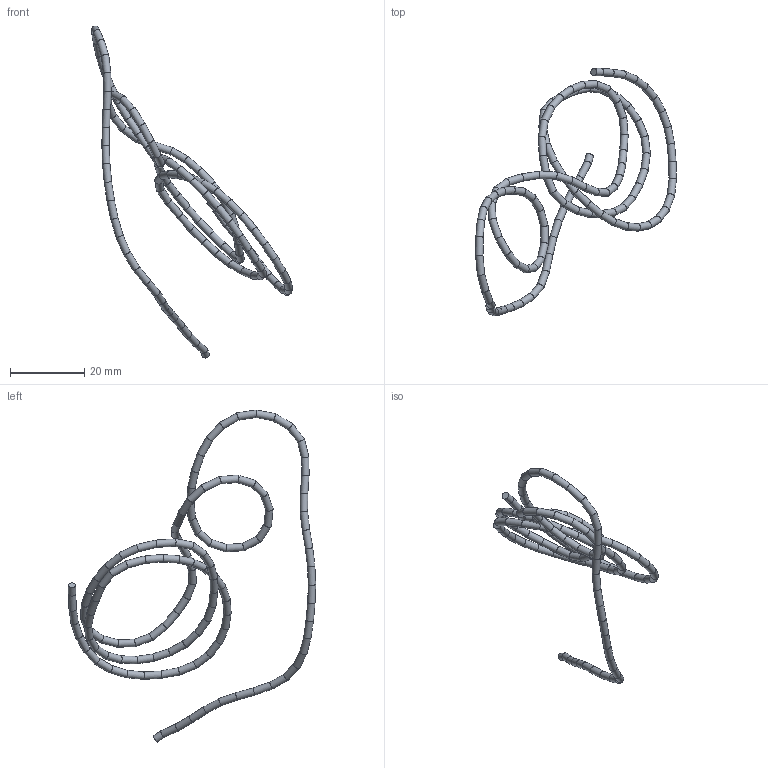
import cadquery as cq

cable_diameter = 2.0
links_per_span = 2

lower_tip = (3.7, 9.8, -43.9)
upper_tip = (4.8, 32.3, -2.5)

upper_joint = (6.7, 32.3, -4.8)

lower_tail = [
    (3.2, 7.8, -42.6),
    (-1.0, 0.0, -38.5),
    (-4.7, -7.8, -33.9),
    (-7.2, -16.9, -31.1),
    (-9.6, -25.5, -27.2),
    (-15.0, -30.1, -20.6),
    (-19.5, -31.8, -11.9),
    (-21.9, -32.4, -2.3),
    (-23.1, -31.6, 7.5),
    (-23.2, -30.2, 17.3),
    (-22.8, -30.6, 27.1),
]

upper_bend = [
    (-23.4, -29.4, 36.6),
    (-25.6, -22.2, 42.8),
    (-26.0, -12.4, 43.0),
    (-24.9, -4.8, 37.0),
    (-21.9, -0.9, 28.4),
]

small_ring = [
    (-17.2, 0.4, 19.8),
    (-11.7, -1.6, 11.9),
    (-8.5, -9.2, 7.5),
    (-9.4, -18.1, 10.0),
    (-13.5, -20.9, 18.0),
    (-18.5, -16.5, 24.9),
    (-22.5, -7.6, 25.8),
]

crossover = [
    (-21.4, 0.4, 20.6),
    (-14.6, 3.8, 14.3),
    (-5.5, 4.4, 11.0),
    (2.2, 1.3, 5.6),
]

inner_coil = [
    (8.3, -0.2, -1.8),
    (11.7, 4.0, -9.7),
    (12.8, 10.9, -16.4),
    (12.7, 20.0, -18.2),
    (8.5, 27.7, -14.6),
    (1.8, 28.8, -7.7),
    (-4.2, 25.5, -0.7),
    (-8.5, 19.0, 5.5),
    (-8.9, 9.6, 8.7),
]

middle_coil = [
    (-6.2, 0.1, 8.2),
    (0.2, -5.0, 3.0),
    (7.0, -6.0, -4.0),
    (12.8, -4.2, -11.7),
    (17.0, 1.8, -18.3),
    (19.1, 10.3, -22.0),
    (16.7, 19.3, -22.5),
    (10.5, 26.0, -19.4),
    (3.2, 28.0, -13.3),
    (-3.3, 25.9, -6.3),
    (-8.6, 21.6, 0.8),
]

outer_coil = [
    (-7.9, 12.7, 4.4),
    (-3.2, 3.8, 4.5),
    (3.2, -3.2, 2.3),
    (10.1, -8.1, -2.8),
    (16.6, -9.6, -10.0),
    (22.1, -7.4, -17.7),
    (25.6, -1.0, -23.9),
    (26.0, 8.2, -26.6),
    (24.7, 17.6, -26.4),
    (21.0, 25.6, -22.9),
    (15.8, 30.4, -16.2),
    (9.5, 32.1, -8.9),
]

waypoints = lower_tail + upper_bend + small_ring + crossover + inner_coil + middle_coil + outer_coil


def link_joints(points):
    """Joints along a smooth curve through the points, with the same number of links in every span."""
    span_count = len(points) - 1
    knots = [float(number) for number in range(len(points))]
    curve = cq.Edge.makeSpline([cq.Vector(*point) for point in points], parameters=knots)
    joint_count = span_count * links_per_span + 1
    return [
        curve.positionAt(number / links_per_span, mode="parameter")
        for number in range(joint_count)
    ]


def linked_cable(joints):
    """A round section swept along straight links, with a mitre at every joint."""
    centreline = cq.Wire.makePolygon(joints)
    end_face = cq.Plane(origin=joints[0], normal=joints[1] - joints[0])
    return (
        cq.Workplane(end_face)
        .circle(cable_diameter / 2)
        .sweep(cq.Workplane(centreline), transition="right")
    )


joints = [
    cq.Vector(*lower_tip),
    *link_joints(waypoints),
    cq.Vector(*upper_joint),
    cq.Vector(*upper_tip),
]
result = linked_cable(joints)